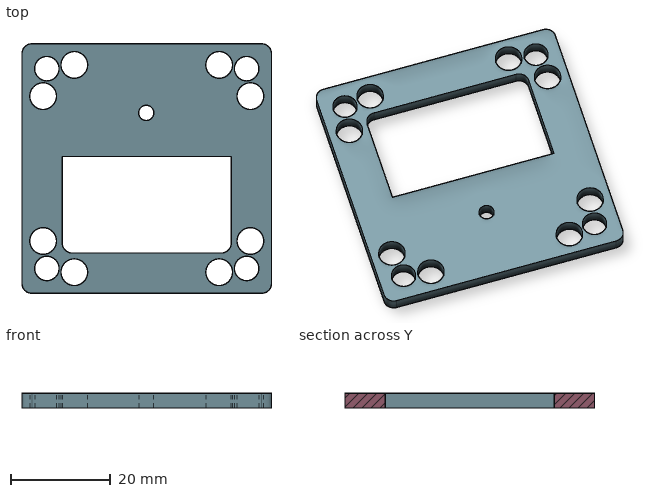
import cadquery as cq

side = 50
thickness = 3
corner_radius = 2

corner_hole_diameter = 4.85
corner_hole_offset = 20
flank_hole_diameter = 5.3
flank_hole_near = 14.5
flank_hole_far = 20.75

small_hole_diameter = 3
small_hole_x = -0.1
small_hole_y = 11.15

window_half_width = 16.9
window_top = 2.4
window_bottom = -16.9
window_radius = 2


def mirrored(x, y):
    """Repeat a point in all four quadrants."""
    return [(sx * x, sy * y) for sx in (-1, 1) for sy in (-1, 1)]


def through_cylinders(points, diameter):
    return cq.Workplane("XY").pushPoints(points).circle(diameter / 2).extrude(thickness)


def window():
    height = window_top - window_bottom
    return (
        cq.Workplane("XY")
        .center(0, window_bottom + height / 2)
        .rect(2 * window_half_width, height)
        .extrude(thickness)
        .edges("|Z and <Y")
        .fillet(window_radius)
    )


plate = cq.Workplane("XY").rect(side, side).extrude(thickness).edges("|Z").fillet(corner_radius)

flank_points = mirrored(flank_hole_near, flank_hole_far) + mirrored(flank_hole_far, flank_hole_near)

result = (
    plate
    .cut(through_cylinders(mirrored(corner_hole_offset, corner_hole_offset), corner_hole_diameter))
    .cut(through_cylinders(flank_points, flank_hole_diameter))
    .cut(through_cylinders([(small_hole_x, small_hole_y)], small_hole_diameter))
    .cut(window())
)